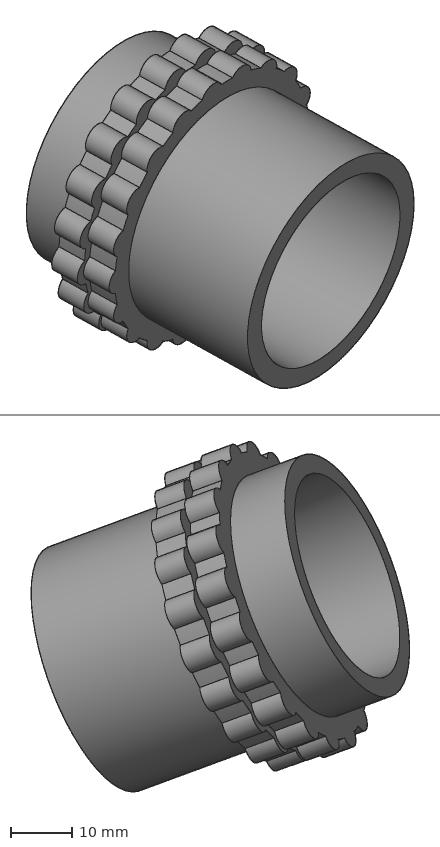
import cadquery as cq

bore_diameter = 35.3
total_length = 47.2

front_diameter = 41.9
front_flange_start = 10.1
flange_gap = 1.0
flange_width = 5.4

rear_diameter = 42.5
spigot_diameter = 40.0
spigot_length = 3.15
rear_start = front_flange_start + flange_width + flange_gap

lobe_count = 20
lobe_radius = 2.7
flange_root_diameter = 49.5
front_lobe_circle_radius = 23.95
rear_lobe_circle_radius = 23.5
front_lobe_angle = 3.7
rear_lobe_angle = 0.0


def cylinder(diameter, start, length):
    """Solid cylinder on the X axis, running from start towards +X."""
    return cq.Workplane("YZ").workplane(offset=start).circle(diameter / 2).extrude(length)


def grip_flange(start, lobe_circle_radius, first_lobe_angle):
    """Disc with round lobes evenly spaced around its rim."""
    flange = cylinder(flange_root_diameter, start, flange_width)
    lobes = (
        cq.Workplane("YZ")
        .workplane(offset=start)
        .polarArray(lobe_circle_radius, first_lobe_angle, 360, lobe_count)
        .circle(lobe_radius)
        .extrude(flange_width)
    )
    return flange.union(lobes)


def make_front_body():
    """Tube with a grip flange and a thinner spigot at its rear end."""
    tube = cylinder(front_diameter, 0, rear_start)
    spigot = cylinder(spigot_diameter, rear_start, spigot_length)
    flange = grip_flange(front_flange_start, front_lobe_circle_radius, front_lobe_angle)
    bore = cylinder(bore_diameter, 0, rear_start + spigot_length)
    return tube.union(spigot).union(flange).cut(bore)


def make_rear_body():
    """Tube with a grip flange and a socket that takes the spigot."""
    tube = cylinder(rear_diameter, rear_start, total_length - rear_start)
    flange = grip_flange(rear_start, rear_lobe_circle_radius, rear_lobe_angle)
    socket = cylinder(spigot_diameter, rear_start, spigot_length)
    bore = cylinder(bore_diameter, rear_start, total_length - rear_start)
    return tube.union(flange).cut(socket).cut(bore)


front_body = make_front_body()
rear_body = make_rear_body()

result = cq.Compound.makeCompound([front_body.val(), rear_body.val()])